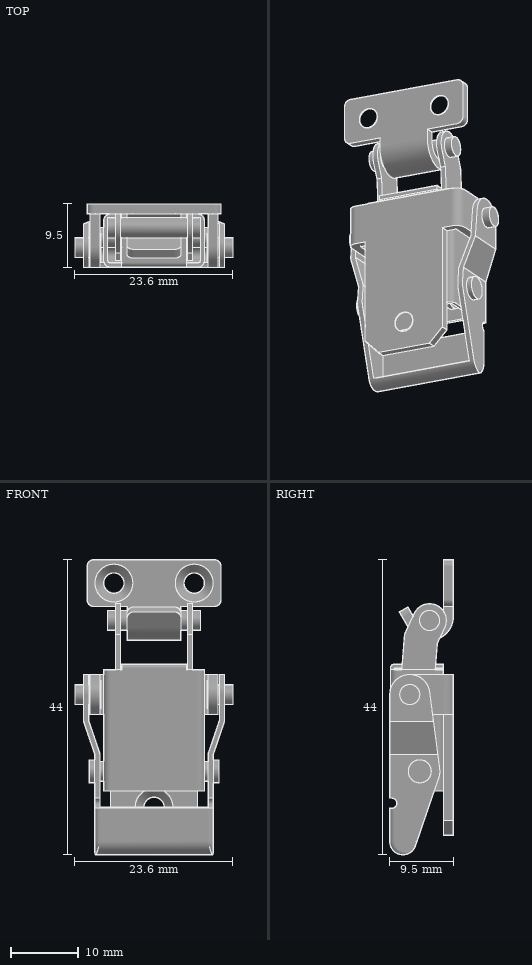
import cadquery as cq
import math


plate_thickness = 1.5
pin_radius = 1.5
front_y = -9.5
top_z = 44.0

screw_hole_radius = 1.5
countersink_radius = 2.8
countersink_angle = 90

hook_pin = (-3.55, 34.95)
pivot = (-6.5, 23.9)
link_pin = (-5.0, 12.45)

strike_half_width = 10.0
strike_height = 7.0
strike_corner = 1.0
strike_hole_x = 6.0
tongue_half_width = 4.0
hook_inner_radius = 2.05
hook_outer_radius = hook_inner_radius + plate_thickness
hook_centre = (-hook_outer_radius, hook_pin[1] - pin_radius + hook_inner_radius)
lip_lean = 30
lip_length = 2.85

ear_radius = 3.0
ear_outer_x = 9.55
ear_inner_x = ear_outer_x - plate_thickness
base_half_width = 6.5
base_bottom_z = 2.9
base_end_chamfer = 2.2
base_hole_z = 7.1
pivot_end_x = 11.8
pivot_head_radius = 2.05
pivot_head_thickness = 0.15

lever_thickness = 0.8
lever_eye_radius = 3.0
lever_top_x = 10.5
lever_grip_x = 8.85
lever_bend_top_z = 19.9
lever_bend_bottom_z = 14.95
foot_radius = 2.0
foot_centre = (front_y + foot_radius, foot_radius)
grip_rounding = 0.8
rounding_path_radius = 2.38
slot_radius = 0.75
slot_centre = (-9.2, 7.7)

box_half_width = 7.52
box_back_y = -plate_thickness
box_front_y = -9.4
box_wall = 0.6
box_corner = 1.0
box_top_z = 27.6
box_bottom_z = 9.5
flange_half_width = 4.85
flange_top_z = 28.42
arm_outer_x = 5.75
arm_thickness = 0.8
arm_half_width = 2.5
arm_path = [hook_pin, (-4.85, 32.2), (-5.9, 18.9), link_pin]
hook_pin_end_x = 6.95
link_pin_end_x = 9.7
link_pin_head_radius = 1.7


def x_cylinder(centre, radius, x_start, x_end):
    """Cylinder along X around the axis point (y, z)."""
    return (
        cq.Workplane("YZ", origin=(x_start, 0, 0))
        .center(*centre)
        .circle(radius)
        .extrude(x_end - x_start)
    )


def box_between(x_range, y_range, z_range):
    """Axis-aligned block between two limits on each axis."""
    corner = cq.Vector(x_range[0], y_range[0], z_range[0])
    return cq.Workplane("XY").add(
        cq.Solid.makeBox(
            x_range[1] - x_range[0],
            y_range[1] - y_range[0],
            z_range[1] - z_range[0],
            corner,
        )
    )


def on_circle(centre, radius, degrees):
    """Point on a circle, with the angle counted from +Y towards +Z."""
    angle = math.radians(degrees)
    return (centre[0] + radius * math.cos(angle), centre[1] + radius * math.sin(angle))


def screw_holes(plate, points):
    """Countersunk holes at (x, z) points, sunk from the front of a mounting plate."""
    return (
        plate.copyWorkplane(cq.Workplane("XZ", origin=(0, -plate_thickness, 0)))
        .pushPoints(points)
        .cskHole(2 * screw_hole_radius, 2 * countersink_radius, countersink_angle)
    )


def mirrored(half):
    """Both sides of something that repeats across the latch's middle plane."""
    return half.union(half.mirror("YZ"))


def make_strike():
    bottom_z = top_z - strike_height
    plate = box_between(
        (-strike_half_width, strike_half_width), (-plate_thickness, 0), (bottom_z, top_z)
    ).edges("|Y").fillet(strike_corner)

    lip_start_angle = 180 + lip_lean
    middle_angle = (lip_start_angle + 360) / 2
    outer_end = on_circle(hook_centre, hook_outer_radius, lip_start_angle)
    inner_end = on_circle(hook_centre, hook_inner_radius, lip_start_angle)
    lip_step = (
        -lip_length * math.sin(math.radians(lip_lean)),
        lip_length * math.cos(math.radians(lip_lean)),
    )
    outer_tip = (outer_end[0] + lip_step[0], outer_end[1] + lip_step[1])
    inner_tip = (inner_end[0] + lip_step[0], inner_end[1] + lip_step[1])
    tongue = (
        cq.Workplane("YZ")
        .moveTo(0, bottom_z)
        .lineTo(0, hook_centre[1])
        .threePointArc(on_circle(hook_centre, hook_outer_radius, middle_angle), outer_end)
        .lineTo(*outer_tip)
        .lineTo(*inner_tip)
        .lineTo(*inner_end)
        .threePointArc(
            on_circle(hook_centre, hook_inner_radius, middle_angle),
            (-plate_thickness, hook_centre[1]),
        )
        .lineTo(-plate_thickness, bottom_z)
        .close()
        .extrude(tongue_half_width, both=True)
    )
    tip_middle = ((outer_tip[0] + inner_tip[0]) / 2, (outer_tip[1] + inner_tip[1]) / 2)
    for side in (-1, 1):
        tip_corner = (side * tongue_half_width, *tip_middle)
        tongue = tongue.edges(cq.NearestToPointSelector(tip_corner)).fillet(strike_corner)

    hole_z = top_z - strike_height / 2
    return screw_holes(plate.union(tongue), [(-strike_hole_x, hole_z), (strike_hole_x, hole_z)])


def make_base():
    ear_bottom_z = pivot[1] - ear_radius
    ear_top_z = pivot[1] + ear_radius

    plate = box_between(
        (-base_half_width, base_half_width), (-plate_thickness, 0), (base_bottom_z, ear_top_z)
    ).edges("|Y and <Z").chamfer(base_end_chamfer)
    plate = screw_holes(plate, [(0, base_hole_z)])

    bracket = box_between(
        (-ear_outer_x, ear_outer_x), (pivot[0], 0), (ear_bottom_z, ear_top_z)
    ).edges("|Z and >Y").fillet(plate_thickness)
    gap = box_between(
        (-ear_inner_x, ear_inner_x), (front_y, -plate_thickness), (ear_bottom_z, ear_top_z)
    )
    ear_round = x_cylinder(pivot, ear_radius, ear_inner_x, ear_outer_x)
    pivot_shaft = x_cylinder(pivot, pin_radius, ear_inner_x, pivot_end_x)
    pivot_head = x_cylinder(
        pivot, pivot_head_radius, ear_inner_x - pivot_head_thickness, ear_inner_x
    )
    ear_parts = mirrored(ear_round.union(pivot_shaft).union(pivot_head))
    return bracket.cut(gap).union(plate).union(ear_parts)


def back_tangent_angle(lower, lower_radius, upper, upper_radius):
    """Angle, in degrees, of the line touching the back (+Y) of two circles."""
    rise = math.atan2(upper[1] - lower[1], upper[0] - lower[0])
    distance = math.dist(lower, upper)
    return math.degrees(rise - math.acos((lower_radius - upper_radius) / distance))


def lever_side_outline():
    """Side outline: round eye at the pivot, round heel at the link pin, round foot."""
    upper_angle = back_tangent_angle(link_pin, lever_eye_radius, pivot, lever_eye_radius)
    lower_angle = back_tangent_angle(foot_centre, foot_radius, link_pin, lever_eye_radius)
    heel_middle = (upper_angle + lower_angle) / 2
    return (
        cq.Workplane("YZ")
        .moveTo(front_y, foot_centre[1])
        .lineTo(front_y, pivot[1])
        .threePointArc(
            on_circle(pivot, lever_eye_radius, 90), on_circle(pivot, lever_eye_radius, upper_angle)
        )
        .lineTo(*on_circle(link_pin, lever_eye_radius, upper_angle))
        .threePointArc(
            on_circle(link_pin, lever_eye_radius, heel_middle),
            on_circle(link_pin, lever_eye_radius, lower_angle),
        )
        .lineTo(*on_circle(foot_centre, foot_radius, lower_angle))
        .threePointArc(on_circle(foot_centre, foot_radius, -90), (front_y, foot_centre[1]))
        .close()
    )


def lever_side_sheet():
    """One side seen from the front: a sheet stepped inwards below the pivot."""
    slope = math.atan2(lever_top_x - lever_grip_x, lever_bend_top_z - lever_bend_bottom_z)
    bend_shift = lever_thickness * math.tan(slope / 2)
    eye_top_z = pivot[1] + lever_eye_radius
    return (
        cq.Workplane("XZ")
        .moveTo(lever_grip_x, 0)
        .lineTo(lever_grip_x, lever_bend_bottom_z)
        .lineTo(lever_top_x, lever_bend_top_z)
        .lineTo(lever_top_x, eye_top_z)
        .lineTo(lever_top_x - lever_thickness, eye_top_z)
        .lineTo(lever_top_x - lever_thickness, lever_bend_top_z + bend_shift)
        .lineTo(lever_grip_x - lever_thickness, lever_bend_bottom_z + bend_shift)
        .lineTo(lever_grip_x - lever_thickness, 0)
        .close()
        .extrude(-front_y)
    )


def lever_grip():
    """Front wall and the round foot below it, joining the two sides."""
    lower_angle = back_tangent_angle(foot_centre, foot_radius, link_pin, lever_eye_radius)
    inner_radius = foot_radius - lever_thickness
    return (
        cq.Workplane("YZ")
        .moveTo(front_y, slot_centre[1])
        .lineTo(front_y, foot_centre[1])
        .threePointArc(
            on_circle(foot_centre, foot_radius, -90),
            on_circle(foot_centre, foot_radius, lower_angle),
        )
        .lineTo(*on_circle(foot_centre, inner_radius, lower_angle))
        .threePointArc(
            on_circle(foot_centre, inner_radius, -90),
            (front_y + lever_thickness, foot_centre[1]),
        )
        .lineTo(front_y + lever_thickness, slot_centre[1])
        .close()
        .extrude(lever_grip_x, both=True)
    )


def grip_corner_section():
    """What rounding removes from the right front corner of the grip, at the level of the foot."""
    return (
        cq.Workplane("XY", origin=(0, 0, foot_centre[1]))
        .moveTo(lever_grip_x, front_y)
        .lineTo(lever_grip_x, front_y + grip_rounding)
        .radiusArc((lever_grip_x - grip_rounding, front_y), grip_rounding)
        .close()
    )


def grip_corner_waste():
    """Material cut off the right outer edge of the grip, upwards and round under the foot."""
    axis_y = front_y + rounding_path_radius
    upwards = grip_corner_section().extrude(slot_centre[1] - foot_centre[1])
    under_foot = grip_corner_section().revolve(180, (0, axis_y), (1, axis_y))
    return upwards.union(under_foot)


def make_lever():
    side = lever_side_sheet().intersect(lever_side_outline().extrude(lever_top_x))
    side = side.cut(x_cylinder(pivot, pin_radius, 0, lever_top_x))
    side = side.cut(x_cylinder(link_pin, pin_radius, 0, lever_top_x))
    lever = mirrored(side).union(lever_grip())

    slot = x_cylinder(slot_centre, slot_radius, -lever_grip_x, lever_grip_x)
    slot_mouth = box_between(
        (-lever_grip_x, lever_grip_x),
        (front_y, slot_centre[0]),
        (slot_centre[1] - slot_radius, slot_centre[1] + slot_radius),
    )
    return lever.cut(slot).cut(slot_mouth).cut(mirrored(grip_corner_waste()))


def strip_outline(path, half_width):
    """Corners of a strip of constant width along a bent (y, z) path, with mitred bends."""
    headings = [
        math.atan2(end[1] - start[1], end[0] - start[0]) for start, end in zip(path, path[1:])
    ]
    before = [headings[0]] + headings
    after = headings + [headings[-1]]
    left = []
    right = []
    for point, heading_in, heading_out in zip(path, before, after):
        across = (heading_in + heading_out + math.pi) / 2
        reach = half_width / math.cos((heading_out - heading_in) / 2)
        step = (reach * math.cos(across), reach * math.sin(across))
        left.append((point[0] + step[0], point[1] + step[1]))
        right.append((point[0] - step[0], point[1] - step[1]))
    return left + right[::-1]


def make_box():
    """Sleeve open at both ends, its front wall folded back over the top between the arms."""
    depth_range = (box_front_y, box_back_y)
    sleeve = box_between(
        (-box_half_width, box_half_width), depth_range, (box_bottom_z, box_top_z)
    ).edges("|Z").fillet(box_corner)
    sleeve = sleeve.faces("<Z or >Z").shell(-box_wall)

    fold = (
        box_between(
            (-flange_half_width, flange_half_width), depth_range, (box_top_z - box_wall, flange_top_z)
        )
        .edges("|X and >Z and <Y")
        .fillet(box_wall)
    )
    under_fold = box_between(
        (-flange_half_width, flange_half_width),
        (box_front_y + box_wall, box_back_y),
        (box_top_z - box_wall, flange_top_z - box_wall),
    )
    return sleeve.union(fold.cut(under_fold))


def make_link():
    arm_inner_x = arm_outer_x - arm_thickness
    arm = (
        cq.Workplane("YZ", origin=(arm_inner_x, 0, 0))
        .polyline(strip_outline(arm_path, arm_half_width))
        .close()
        .extrude(arm_thickness)
    )
    for eye in (hook_pin, link_pin):
        arm = arm.union(x_cylinder(eye, arm_half_width, arm_inner_x, arm_outer_x))

    upper_pin = x_cylinder(hook_pin, pin_radius, -hook_pin_end_x, hook_pin_end_x)
    lower_pin = x_cylinder(link_pin, pin_radius, -link_pin_end_x, link_pin_end_x)
    pin_head = x_cylinder(link_pin, link_pin_head_radius, lever_grip_x, link_pin_end_x)
    return make_box().union(mirrored(arm)).union(upper_pin).union(lower_pin).union(mirrored(pin_head))


strike = make_strike()
base = make_base()
lever = make_lever()
link = make_link()

result = cq.Compound.makeCompound([strike.val(), base.val(), lever.val(), link.val()])